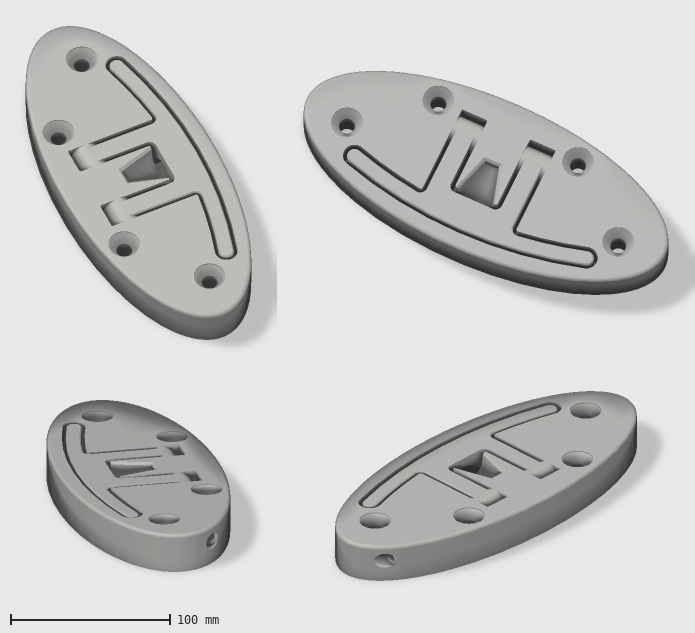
import cadquery as cq
import math

LENGTH = 248.7
WIDTH = 104.2
HEIGHT = 24.9
RIM_ROUND = 2.2

MOUNT_PLACES = [(94.3, 5.0), (48.5, -32.8)]
MOUNT_HOLE_RADIUS = 5.0
MOUNT_SINK_RADIUS = 10.0
MOUNT_SINK_DEPTH = 6.5
MOUNT_SINK_RIM = 0.7

HINGE_Y = -22.0
HINGE_Z = 14.7
PIN_RADIUS = 5.0
PIN_HEAD_X = -107.5
PIN_CHAMFER = 0.5
SOCKET_RADIUS = 2.7
SOCKET_DEPTH = 2.5
KNUCKLE_RADIUS = HEIGHT - HINGE_Z

ARC_CENTRE_Y = -246.5
ARC_MIDDLE_RADIUS = 281.3
BAR_END_X = 80.5
BAR_HALF_WIDTH = 4.7
BAR_GAP = 2.5

LEG_OUTER_X = 30.0
LEG_INNER_X = 17.7
BAR_INNER_Y = 18.5
CLEAT_CORNER_RADIUS = 4.5
CLEAT_EDGE_CHAMFER = 0.7

RECESS_OUTER_X = LEG_OUTER_X + BAR_GAP
RECESS_FLOOR_Z = 2.5
RECESS_FRONT_Y = -33.8
POST_HALF_WIDTH = 14.7
POST_BACK_Y = 15.0
ISLAND_CORNER_RADIUS = 1.5
POST_CORNER_RADIUS = 1.2

SCOOP_FRONT_Y = -11.0
SCOOP_BACK_HALF_WIDTH = 13.7
SCOOP_FRONT_HALF_WIDTH = 6.2
SCOOP_BACK_DEPTH = 17.0
SCOOP_FRONT_DEPTH = 6.7
SCOOP_BEVEL = 1.5

HOLLOW_TOP_Z = 18.7
HOLLOW_HALF_WIDTH = 14.0
HOLLOW_WIDENING = 9.2

SIDES = (-1, 1)

CORNER_REACH = 0.5


def arc_point(radius, x):
    """Point at x on a circle about the centre of the curved bar."""
    return (x, ARC_CENTRE_Y + math.sqrt(radius**2 - x**2))


def bar_prism(half_width, bottom, top):
    """Curved bar with round ends."""
    end_angle = math.asin(BAR_END_X / ARC_MIDDLE_RADIUS)
    sine = math.sin(end_angle)
    cosine = math.cos(end_angle)

    def end_point(radius, side, overhang):
        x = side * (radius * sine + overhang * cosine)
        y = ARC_CENTRE_Y + radius * cosine - overhang * sine
        return (x, y)

    outer = ARC_MIDDLE_RADIUS + half_width
    inner = ARC_MIDDLE_RADIUS - half_width
    return (
        cq.Workplane("XY", origin=(0, 0, bottom))
        .moveTo(*end_point(outer, -1, 0))
        .threePointArc(arc_point(outer, 0), end_point(outer, 1, 0))
        .threePointArc(end_point(ARC_MIDDLE_RADIUS, 1, half_width), end_point(inner, 1, 0))
        .threePointArc(arc_point(inner, 0), end_point(inner, -1, 0))
        .threePointArc(end_point(ARC_MIDDLE_RADIUS, -1, half_width), end_point(outer, -1, 0))
        .close()
        .extrude(top - bottom)
    )


def box(x_range, y_range, z_range):
    """Box between two limits along each axis."""
    low, high = zip(x_range, y_range, z_range)
    size = [b - a for a, b in zip(low, high)]
    return cq.Workplane("XY").box(*size, centered=False).translate(low)


def corner_edges(shape, x, y):
    """Vertical edges near x on both sides of the middle, at y."""
    reach = CORNER_REACH
    corners = cq.selectors.BoxSelector((x - reach, y - reach, 0), (x + reach, y + reach, HEIGHT))
    mirrored = cq.selectors.BoxSelector((-x - reach, y - reach, 0), (-x + reach, y + reach, HEIGHT))
    return shape.edges("|Z").edges(corners + mirrored)


def hinge_cylinder(radius, start_x, end_x):
    """Cylinder along the hinge axis between two places on X."""
    return cq.Workplane("YZ", origin=(start_x, HINGE_Y, HINGE_Z)).circle(radius).extrude(end_x - start_x)


def hinge_span(radius, side, near_x, far_x):
    """Cylinder along the hinge axis between two distances from the middle, on one side."""
    return hinge_cylinder(radius, *sorted((side * near_x, side * far_x)))


def recess_cutter():
    """Pocket outline around the cleat, with the post left standing in the middle."""
    half_width = BAR_HALF_WIDTH + BAR_GAP
    inner_radius = ARC_MIDDLE_RADIUS - half_width
    z_range = (RECESS_FLOOR_Z, HEIGHT)
    back_y = ARC_CENTRE_Y + ARC_MIDDLE_RADIUS
    cutter = bar_prism(half_width, *z_range)
    cutter = cutter.union(box((-RECESS_OUTER_X, RECESS_OUTER_X), (RECESS_FRONT_Y, back_y), z_range))
    cutter = cutter.cut(box((-POST_HALF_WIDTH, POST_HALF_WIDTH), (RECESS_FRONT_Y, POST_BACK_Y), z_range))
    cutter = corner_edges(cutter, *arc_point(inner_radius, RECESS_OUTER_X)).fillet(ISLAND_CORNER_RADIUS)
    cutter = corner_edges(cutter, POST_HALF_WIDTH, POST_BACK_Y).fillet(POST_CORNER_RADIUS)
    return corner_edges(cutter, POST_HALF_WIDTH, RECESS_FRONT_Y).fillet(ISLAND_CORNER_RADIUS)


def scoop_section(y, half_width, depth):
    """Half ellipse hanging from the lower edge of the scoop's bevel."""
    return (
        cq.Workplane("XZ", origin=(0, y, HEIGHT - SCOOP_BEVEL))
        .ellipseArc(half_width, depth, 180, 360, startAtCurrent=False)
        .close()
        .val()
    )


def scoop_rim(z, inset):
    """Trapezoid outline of the scoop's bevel at one height."""
    front = SCOOP_FRONT_HALF_WIDTH - inset
    back = SCOOP_BACK_HALF_WIDTH - inset
    front_y = SCOOP_FRONT_Y + inset
    corners = [(-front, front_y), (front, front_y), (back, POST_BACK_Y), (-back, POST_BACK_Y)]
    return cq.Workplane("XY", origin=(0, 0, z)).polyline(corners).close().val()


def scoop_cutter():
    """Tapering half-conical hollow with a bevel around its top."""
    back = scoop_section(POST_BACK_Y, SCOOP_BACK_HALF_WIDTH - SCOOP_BEVEL, SCOOP_BACK_DEPTH - SCOOP_BEVEL)
    front = scoop_section(
        SCOOP_FRONT_Y + SCOOP_BEVEL, SCOOP_FRONT_HALF_WIDTH - SCOOP_BEVEL, SCOOP_FRONT_DEPTH - SCOOP_BEVEL
    )
    cone = cq.Solid.makeLoft([back, front], True)
    bevel = cq.Solid.makeLoft([scoop_rim(HEIGHT - SCOOP_BEVEL, SCOOP_BEVEL), scoop_rim(HEIGHT, 0)], True)
    return cq.Workplane(cone).union(cq.Workplane(bevel))


def mount_hole_cutter(x, y):
    """Through hole with a conical countersink below a short straight rim."""
    profile = [
        (0, 0),
        (MOUNT_HOLE_RADIUS, 0),
        (MOUNT_HOLE_RADIUS, HEIGHT - MOUNT_SINK_DEPTH),
        (MOUNT_SINK_RADIUS, HEIGHT - MOUNT_SINK_RIM),
        (MOUNT_SINK_RADIUS, HEIGHT),
        (0, HEIGHT),
    ]
    cutter = cq.Workplane("XZ").polyline(profile).close().revolve(360, (0, 0), (0, 1))
    return cutter.translate((x, y, 0))


def hollow_cutter():
    """Upright cone that undercuts the front face of the bar and widens toward the underside."""
    underside = HINGE_Z - KNUCKLE_RADIUS
    bottom_radius = BAR_INNER_Y + HOLLOW_WIDENING
    profile = [(0, underside), (bottom_radius, underside), (BAR_INNER_Y, HOLLOW_TOP_Z), (0, HOLLOW_TOP_Z)]
    cone = cq.Workplane("XZ").polyline(profile).close().revolve(360, (0, 0), (0, 1))
    limits = box((-HOLLOW_HALF_WIDTH, HOLLOW_HALF_WIDTH), (0, bottom_radius), (underside, HEIGHT))
    return cone.intersect(limits)


def make_base():
    plate = cq.Workplane("XY").ellipse(LENGTH / 2, WIDTH / 2).extrude(HEIGHT)
    plate = plate.faces(">Z").edges().fillet(RIM_ROUND)
    plate = plate.cut(recess_cutter()).cut(scoop_cutter())
    for side in SIDES:
        for x, y in MOUNT_PLACES:
            plate = plate.cut(mount_hole_cutter(side * x, y))
    return plate.cut(hinge_cylinder(PIN_RADIUS, -LENGTH / 2, RECESS_OUTER_X))


def make_cleat():
    inner_radius = ARC_MIDDLE_RADIUS - BAR_HALF_WIDTH
    z_range = (HINGE_Z - KNUCKLE_RADIUS, HEIGHT)
    back_y = ARC_CENTRE_Y + ARC_MIDDLE_RADIUS
    cleat = bar_prism(BAR_HALF_WIDTH, *z_range)
    cleat = cleat.union(box((-LEG_OUTER_X, LEG_OUTER_X), (HINGE_Y, back_y), z_range))
    cleat = cleat.cut(box((-LEG_INNER_X, LEG_INNER_X), (HINGE_Y, BAR_INNER_Y), z_range))
    cleat = corner_edges(cleat, *arc_point(inner_radius, LEG_OUTER_X)).fillet(CLEAT_CORNER_RADIUS)
    cleat = corner_edges(cleat, LEG_INNER_X, BAR_INNER_Y).fillet(CLEAT_CORNER_RADIUS)

    leg_edge = cq.selectors.NearestToPointSelector((LEG_OUTER_X, 0, HEIGHT))
    cleat = cleat.edges(leg_edge).chamfer(CLEAT_EDGE_CHAMFER)

    cleat = cleat.cut(hollow_cutter())
    for side in SIDES:
        cleat = cleat.union(hinge_span(KNUCKLE_RADIUS, side, LEG_INNER_X, LEG_OUTER_X))
        cleat = cleat.cut(hinge_span(PIN_RADIUS, side, LEG_INNER_X, LEG_OUTER_X))
    return cleat


def make_washer(side, near_x, far_x):
    """Spacer ring between a leg and the wall of the recess."""
    ring = hinge_span(KNUCKLE_RADIUS, side, near_x, far_x)
    return ring.cut(hinge_span(PIN_RADIUS, side, near_x, far_x))


def make_pin():
    """Hinge pin through both legs, with a round socket in its chamfered outer end."""
    pin = hinge_cylinder(PIN_RADIUS, PIN_HEAD_X, RECESS_OUTER_X).faces("<X").chamfer(PIN_CHAMFER)
    return pin.cut(hinge_cylinder(SOCKET_RADIUS, PIN_HEAD_X, PIN_HEAD_X + SOCKET_DEPTH))


base = make_base()
cleat = make_cleat()
washer_spans = [(POST_HALF_WIDTH, LEG_INNER_X), (LEG_OUTER_X, RECESS_OUTER_X)]
washers = [make_washer(side, *span) for side in SIDES for span in washer_spans]
pin = make_pin()

result = cq.Compound.makeCompound([part.val() for part in [base, cleat, *washers, pin]])